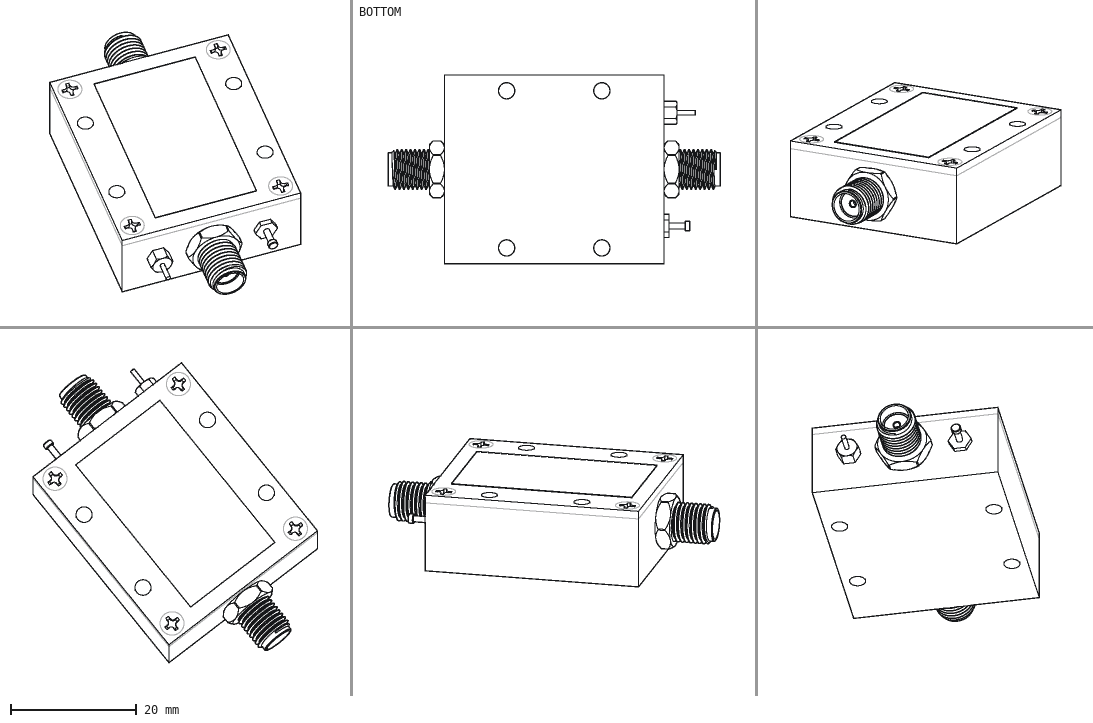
import cadquery as cq
import math

overall_length = 52.85
overall_height = 12.75
body_length = 34.9
body_width = 30.0
label_thickness = 0.1
lid_thickness = 1.25
body_top = overall_height - label_thickness
half_length = body_length / 2

label_length = 29.5
label_width = 17.0

row_y = 12.5
mount_hole_x = 7.55
mount_hole_diameter = 2.55
screw_x = 15.0
screw_head_diameter = 3.8

cross_span = 2.55
cross_floor_span = 1.8
cross_arm_width = 0.51
cross_corner_radius = 0.55
cross_depth = 0.65

connector_z = 6.35
connector_length = (overall_length - body_length) / 2
nut_flats = 7.95
nut_thickness = 2.4
nut_corner_diameter = 9.05
nut_chamfer_length = 0.6
sleeve_diameter = 5.35
thread_diameter = 6.35
neck_length = 0.65
thread_turns = 8.5
thread_pitch = (connector_length - nut_thickness - neck_length) / thread_turns
thread_crest_width = 0.1
thread_root_gap = 0.04
thread_root_depth = 0.1
mouth_chamfer = 0.1
bore_diameter = 4.55
bore_depth = 1.9
inner_bore_diameter = 4.0
inner_bore_depth = 0.1
contact_diameter = 1.2
contact_recess = 0.1
contact_hole_diameter = 0.95
contact_hole_depth = 1.05

terminal_y = 9.0
terminal_z = 6.55
terminal_nut_flats = 3.2
terminal_barrel_diameter = 3.75
terminal_chamfer_length = 0.2
supply_nut_thickness = 2.05
supply_pin_diameter = 0.75
supply_reach = 4.95
ground_nut_thickness = 0.8
ground_pin_diameter = 1.0
ground_reach = 4.1
ground_head_diameter = 1.55
ground_head_length = 0.85
ground_head_chamfer = 0.1

margin = 0.1


def cylinder(diameter, start, end):
    """Cylinder along +Z between two heights."""
    return cq.Workplane("XY").workplane(offset=start).circle(diameter / 2).extrude(end - start)


def turned(points):
    """Solid of revolution about Z from (radius, height) points."""
    return cq.Workplane("XZ").polyline(points).close().revolve(360, (0, 0, 0), (0, 1, 0))


def hexagon(flats, thickness):
    """Hexagonal prism standing on the XY plane with two of its corners on the Y axis."""
    sharp_diameter = flats / math.cos(math.pi / 6)
    return cq.Workplane("XY").polygon(6, sharp_diameter).extrude(thickness).rotate((0, 0, 0), (0, 0, 1), 90)


def make_thread(start, end):
    """Right-hand thread ridge rooted inside the sleeve, coned off at its outer end."""
    root = sleeve_diameter / 2
    crest = thread_diameter / 2
    base = root - thread_root_depth
    half_base = thread_pitch / 2 - thread_root_gap
    half_crest = thread_crest_width / 2
    tooth_points = [
        (base, start - half_base),
        (crest, start - half_crest),
        (crest, start + half_crest),
        (base, start + half_base),
    ]
    helix = cq.Wire.makeHelix(thread_pitch, end - start, root).translate(cq.Vector(0, 0, start))
    ridge = cq.Workplane("XZ").polyline(tooth_points).close().sweep(cq.Workplane(obj=helix), isFrenet=True)
    outer = crest + margin
    inner = base - margin
    bottom = start - thread_pitch
    limits = turned([
        (inner, bottom),
        (outer, bottom),
        (outer, end - (outer - root)),
        (inner, end + (root - inner)),
    ])
    return ridge.intersect(limits, clean=False)


def make_connector():
    """Threaded socket along +Z, with the housing wall at height zero."""
    corner = nut_corner_diameter / 2
    face = nut_flats / 2
    nut = hexagon(nut_flats, nut_thickness).intersect(
        turned([
            (0, 0),
            (face, 0),
            (corner, nut_chamfer_length),
            (corner, nut_thickness - nut_chamfer_length),
            (face, nut_thickness),
            (0, nut_thickness),
        ])
    )
    sleeve = cylinder(sleeve_diameter, 0, connector_length).faces(">Z").chamfer(mouth_chamfer)

    shoulder = connector_length - bore_depth
    floor = shoulder - inner_bore_depth
    contact_face = floor - contact_recess
    socket = (
        cylinder(bore_diameter, shoulder, connector_length)
        .union(cylinder(inner_bore_diameter, floor, shoulder))
        .union(cylinder(contact_diameter, contact_face, floor))
        .union(cylinder(contact_hole_diameter, contact_face - contact_hole_depth, contact_face))
    )
    thread = make_thread(nut_thickness - thread_pitch / 2, connector_length - neck_length)
    return nut.union(sleeve).cut(socket).union(thread, clean=False)


def make_supply_terminal():
    """Hexagon nut with a coned outer end and a plain pin along +Z."""
    barrel = terminal_barrel_diameter / 2
    limits = turned([
        (0, 0),
        (barrel, 0),
        (barrel, supply_nut_thickness - terminal_chamfer_length),
        (terminal_nut_flats / 2, supply_nut_thickness),
        (0, supply_nut_thickness),
    ])
    nut = hexagon(terminal_nut_flats, supply_nut_thickness).intersect(limits)
    return nut.union(cylinder(supply_pin_diameter, 0, supply_reach))


def make_ground_terminal():
    """Thin hexagon nut with a headed pin along +Z."""
    head = cylinder(ground_head_diameter, ground_reach - ground_head_length, ground_reach)
    head = head.edges("%CIRCLE").chamfer(ground_head_chamfer)
    pin = cylinder(ground_pin_diameter, 0, ground_reach)
    return hexagon(terminal_nut_flats, ground_nut_thickness).union(pin).union(head)


def on_end_wall(piece, side, y, z):
    """Point a +Z piece outward along X from the +X (side=1) or -X (side=-1) wall."""
    turned_piece = piece.rotate((0, 0, 0), (0, 1, 0), 90 * side)
    return turned_piece.translate((side * half_length, y, z))


def make_screw_head():
    """Flush screw head with its top face on the XY plane."""
    arm = (
        cq.Workplane("XZ")
        .polyline([
            (-cross_span / 2, 0),
            (cross_span / 2, 0),
            (cross_floor_span / 2, -cross_depth),
            (-cross_floor_span / 2, -cross_depth),
        ])
        .close()
        .extrude(cross_arm_width / 2, both=True)
    )
    cross = arm.union(arm.rotate((0, 0, 0), (0, 0, 1), 90))
    half_arm = cross_arm_width / 2
    inner_corners = cq.selectors.BoxSelector(
        (-half_arm - margin, -half_arm - margin, -cross_depth),
        (half_arm + margin, half_arm + margin, 0),
    )
    cross = cross.edges("|Z").edges(inner_corners).fillet(cross_corner_radius)
    return cylinder(screw_head_diameter, -lid_thickness, 0).cut(cross)


def make_housing():
    box_height = body_top - lid_thickness
    screw_points = [(x, y) for x in (-screw_x, screw_x) for y in (-row_y, row_y)]
    hole_points = [(x, y) for x in (-mount_hole_x, mount_hole_x) for y in (-row_y, row_y)]
    box = cq.Workplane("XY").box(body_length, body_width, box_height, centered=(True, True, False))
    lid = (
        cq.Workplane("XY")
        .workplane(offset=box_height)
        .rect(body_length, body_width)
        .extrude(lid_thickness)
        .cut(cq.Workplane("XY").pushPoints(screw_points).circle(screw_head_diameter / 2).extrude(body_top))
    )
    housing = box.union(lid, clean=False)
    head = make_screw_head()
    for x, y in screw_points:
        housing = housing.union(head.translate((x, y, body_top)), clean=False)
    mount_holes = cq.Workplane("XY").pushPoints(hole_points).circle(mount_hole_diameter / 2).extrude(body_top)
    return housing.cut(mount_holes, clean=False)


label = (
    cq.Workplane("XY")
    .workplane(offset=body_top)
    .rect(label_length, label_width)
    .extrude(label_thickness)
)
connector = make_connector()

result = make_housing().union(label, clean=False)
for side in (-1, 1):
    result = result.union(on_end_wall(connector, side, 0, connector_z), clean=False)
result = result.union(on_end_wall(make_supply_terminal(), 1, -terminal_y, terminal_z), clean=False)
result = result.union(on_end_wall(make_ground_terminal(), 1, terminal_y, terminal_z), clean=False)